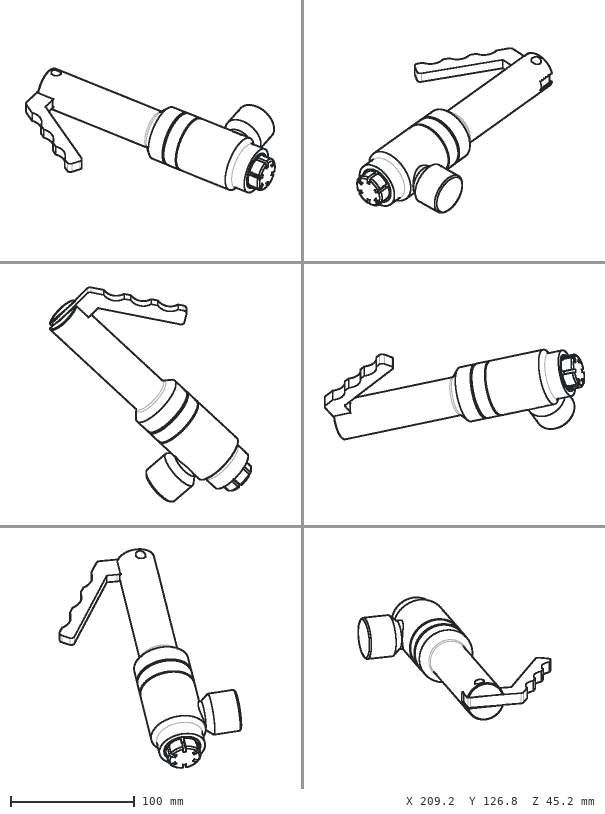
import cadquery as cq
import math

tube_start = 1.9
tube_dia = 31.5
tube_end_chamfer = 0.6
shoulder_end = 110.7
shoulder_angle = 45.0
shoulder_fillet = 2.5
front_collar_dia = 45.0
body_dia = 45.2
body_start = 125.0
body_end = 183.0
groove_dia = 44.4
wide_groove = 1.3
thin_groove = 0.6
thin_groove_start = 136.2
rear_collar_dia = 37.9
rear_collar_end = 198.8
pad_dia = 30.1
pad_length = 0.5

nose_dia = 27.2
nose_core_dia = 16.7
nose_end = 209.2
nose_chamfer = 1.5
nose_slot_count = 6
nose_slot_width = 2.5
nose_first_slot_angle = 30.0

port_x = 168.6
port_dia = 33.7
port_neck_dia = 23.5
port_end = 51.7
port_end_chamfer = 1.3
port_cone_base = 23.2
port_cone_top = 29.5

slot_width = 9.5
slot_end = 16.5
pivot_x = 8.4
pivot_y = 3.1
pivot_bore = 8.0
pivot_center_hole = 2.5

lever_thickness = 9.0
lever_top_y = 14.0
head_tilt = 4.4
head_corner_fillet = 1.5
heel_y = -31.0
inner_corner = (16.0, -26.2)
arm_angle = 33.7
lever_fillet = 3.0
heel_land = 12.5
arm_length = 81.5
grip_count = 3
grip_chord = 16.7
grip_pitch = 22.4
grip_depth = 3.3


def make_barrel():
    """Solid of revolution from the tube to the rear collar and nose pad."""
    tube_r = tube_dia / 2
    front_r = front_collar_dia / 2
    body_r = body_dia / 2
    groove_r = groove_dia / 2
    rear_r = rear_collar_dia / 2
    slope = math.radians(shoulder_angle)
    shoulder_start = shoulder_end - (front_r - tube_r) / math.tan(slope)
    tangent = shoulder_fillet * math.tan(slope / 2)
    fillet_start = shoulder_start - tangent

    def on_shoulder_fillet(angle):
        """Point on the fillet where its tangent has turned by the angle."""
        return (fillet_start + shoulder_fillet * math.sin(angle),
                tube_r + shoulder_fillet * (1 - math.cos(angle)))

    rear_fillet = body_r - rear_r
    rear_sag = rear_fillet * (1 - math.sqrt(0.5))
    rear_mid = (body_end + rear_sag, rear_r + rear_sag)
    profile = (
        cq.Workplane("XY")
        .moveTo(tube_start, 0)
        .lineTo(tube_start, tube_r - tube_end_chamfer)
        .lineTo(tube_start + tube_end_chamfer, tube_r)
        .lineTo(fillet_start, tube_r)
        .threePointArc(on_shoulder_fillet(slope / 2), on_shoulder_fillet(slope))
        .lineTo(shoulder_end, front_r)
        .lineTo(body_start - wide_groove, front_r)
        .lineTo(body_start - wide_groove, groove_r)
        .lineTo(body_start, groove_r)
        .lineTo(body_start, body_r)
        .lineTo(thin_groove_start, body_r)
        .lineTo(thin_groove_start, groove_r)
        .lineTo(thin_groove_start + thin_groove, groove_r)
        .lineTo(thin_groove_start + thin_groove, body_r)
        .lineTo(body_end, body_r)
        .threePointArc(rear_mid, (body_end + rear_fillet, rear_r))
        .lineTo(rear_collar_end, rear_r)
        .lineTo(rear_collar_end, pad_dia / 2)
        .lineTo(rear_collar_end + pad_length, pad_dia / 2)
        .lineTo(rear_collar_end + pad_length, 0)
        .close()
    )
    return profile.revolve(360, (0, 0, 0), (1, 0, 0))


def make_nose():
    """Round nose, chamfered at its end, with radial slots down to a round core."""
    start = rear_collar_end + pad_length
    length = nose_end - start
    nose = (
        cq.Workplane("YZ", origin=(start, 0, 0))
        .circle(nose_dia / 2)
        .extrude(length)
        .faces(">X").chamfer(nose_chamfer)
    )
    for i in range(nose_slot_count):
        angle = nose_first_slot_angle + i * 360 / nose_slot_count
        slot = (
            cq.Workplane("XY")
            .box(length, nose_dia, nose_slot_width, centered=(False, False, True))
            .translate((start, 0, 0))
            .rotate((0, 0, 0), (1, 0, 0), angle)
        )
        nose = nose.cut(slot)
    core = (
        cq.Workplane("YZ", origin=(start, 0, 0))
        .circle(nose_core_dia / 2)
        .extrude(length)
    )
    return nose.union(core)


def make_port():
    """Side port: neck from the barrel axis, cone and cylindrical cup."""
    neck_r = port_neck_dia / 2
    port_r = port_dia / 2
    return (
        cq.Workplane("XY", origin=(port_x, 0, 0))
        .moveTo(0, 0)
        .lineTo(neck_r, 0)
        .lineTo(neck_r, port_cone_base)
        .lineTo(port_r, port_cone_top)
        .lineTo(port_r, port_end - port_end_chamfer)
        .lineTo(port_r - port_end_chamfer, port_end)
        .lineTo(0, port_end)
        .close()
        .revolve(360, (0, 0, 0), (0, 1, 0))
    )


def make_housing():
    """Barrel, nose and port in one, with the lever slot and pivot bore cut in."""
    lever_slot = cq.Workplane("XY").box(
        slot_end, 2 * tube_dia, slot_width, centered=(False, True, True)
    )
    pivot = (
        cq.Workplane("XY")
        .center(pivot_x, pivot_y)
        .circle(pivot_bore / 2)
        .extrude(tube_dia)
    )
    return make_barrel().union(make_nose()).union(make_port()).cut(lever_slot).cut(pivot)


def make_lever():
    """Flat bent lever with finger grips, resting against the upper slot wall."""
    tilt = math.tan(math.radians(head_tilt))
    arm = math.radians(arm_angle)

    head_angle = math.radians(90 - head_tilt)
    half_corner = (head_angle + arm) / 2
    heel_bisector = (head_angle - arm) / 2
    heel_x = lever_fillet * (1 - math.cos(heel_bisector) / math.sin(half_corner))

    def on_arm(along, inward=0.0):
        """Point at a distance along the grip edge and inward from it."""
        return (heel_x + along * math.cos(arm) + inward * math.sin(arm),
                heel_y - along * math.sin(arm) + inward * math.cos(arm))

    arm_width = ((inner_corner[0] - heel_x) * math.sin(arm)
                 + (inner_corner[1] - heel_y) * math.cos(arm))
    heel = on_arm(0)
    tip_low = on_arm(arm_length)
    tip_high = on_arm(arm_length, arm_width)
    head_outer = (heel_x + (lever_top_y - heel_y) * tilt, lever_top_y)
    stop_y = inner_corner[1] + (slot_end - inner_corner[0]) / tilt

    outline = cq.Workplane("XY").moveTo(*heel)
    for i in range(grip_count):
        start = heel_land + i * grip_pitch
        outline = outline.lineTo(*on_arm(start)).threePointArc(
            on_arm(start + grip_chord / 2, grip_depth), on_arm(start + grip_chord)
        )
    lever = (
        outline
        .lineTo(*tip_low)
        .lineTo(*tip_high)
        .lineTo(*inner_corner)
        .lineTo(slot_end, stop_y)
        .lineTo(slot_end, lever_top_y)
        .lineTo(*head_outer)
        .close()
        .extrude(lever_thickness)
    )

    def edge_at(point):
        return cq.selectors.NearestToPointSelector((*point, lever_thickness / 2))

    for corner in (heel, tip_low, tip_high):
        lever = lever.edges("|Z").edges(edge_at(corner)).fillet(lever_fillet)
    lever = lever.edges("|Z").edges(edge_at(head_outer)).fillet(head_corner_fillet)
    center_hole = (
        cq.Workplane("XY")
        .center(pivot_x, pivot_y)
        .circle(pivot_center_hole / 2)
        .extrude(lever_thickness)
    )
    return lever.cut(center_hole).translate((0, 0, slot_width / 2 - lever_thickness))


housing = make_housing()
lever = make_lever()
result = cq.Compound.makeCompound([housing.val(), lever.val()])